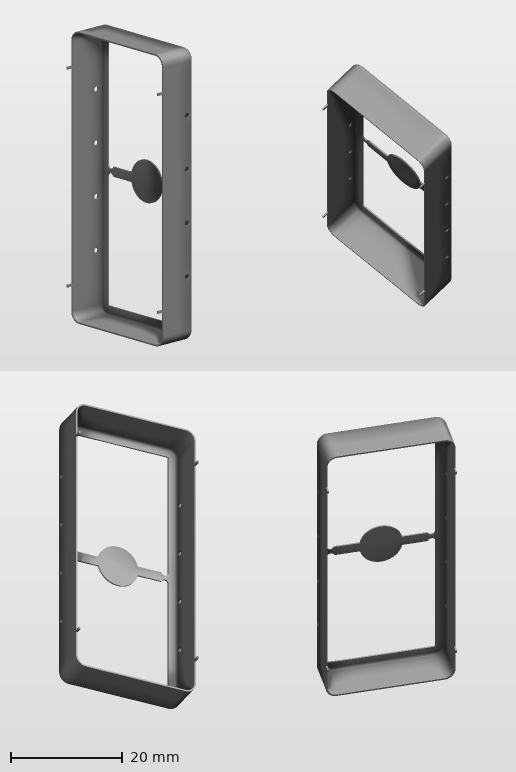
import cadquery as cq

width = 23.9
height = 54.4
overall_depth = 8.7
pin_length = 1.2
shell_depth = overall_depth - pin_length
wall = 0.3
face_thickness = 0.3
corner_radius = 2.0
face_edge_radius = 0.8

window_width = 20.0
window_height = 50.4

disc_diameter = 8.0
bar_height = 1.85
neck_height = 0.8
notch_radius = 0.7

hole_diameter = 1.0
hole_pitch = 10.0
hole_count = 4
hole_setback = 1.6

pin_height = 0.5
pin_spacing = 40.6

face_y = shell_depth / 2
rim_y = -shell_depth / 2


def rounded_block(inset, front_y, back_y):
    """Block inset from the outer outline, rounded at its corners and around its +Y face."""
    depth = back_y - front_y
    return (
        cq.Workplane("XY")
        .box(width - 2 * inset, depth, height - 2 * inset)
        .translate((0, (front_y + back_y) / 2, 0))
        .edges("|Y")
        .fillet(corner_radius - inset)
        .faces(">Y")
        .edges()
        .fillet(face_edge_radius - inset)
    )


def make_shell():
    outer = rounded_block(0, rim_y, face_y)
    cavity = rounded_block(wall, rim_y, face_y - face_thickness)
    window = cq.Workplane("XY").box(window_width, 2 * shell_depth, window_height)
    return outer.cut(cavity).cut(window)


def make_crossbar():
    """Bar and disc, as thick as the face and flush with it."""
    plane = cq.Workplane("XZ", origin=(0, face_y, 0))
    bar = plane.rect(window_width + 2 * wall, bar_height).extrude(face_thickness)
    disc = plane.circle(disc_diameter / 2).extrude(face_thickness)
    notch_x = window_width / 2 - notch_radius
    notch_z = neck_height / 2 + notch_radius
    notch_centers = [(sx * notch_x, sz * notch_z) for sx in (-1, 1) for sz in (-1, 1)]
    notches = plane.pushPoints(notch_centers).circle(notch_radius).extrude(face_thickness)
    return bar.union(disc).cut(notches)


def make_side_holes():
    return (
        cq.Workplane("YZ", origin=(0, face_y - hole_setback, 0))
        .rarray(0.55, hole_pitch, 1, hole_count)
        .circle(hole_diameter / 2)
        .extrude(width, both=True)
    )


def make_pins():
    """Pins as thick as the wall, flush with the outer sides."""
    return (
        cq.Workplane("XZ", origin=(0, rim_y, 0))
        .rarray(width - wall, pin_spacing, 2, 2)
        .rect(wall, pin_height)
        .extrude(pin_length)
    )


result = make_shell().cut(make_side_holes()).union(make_crossbar()).union(make_pins())